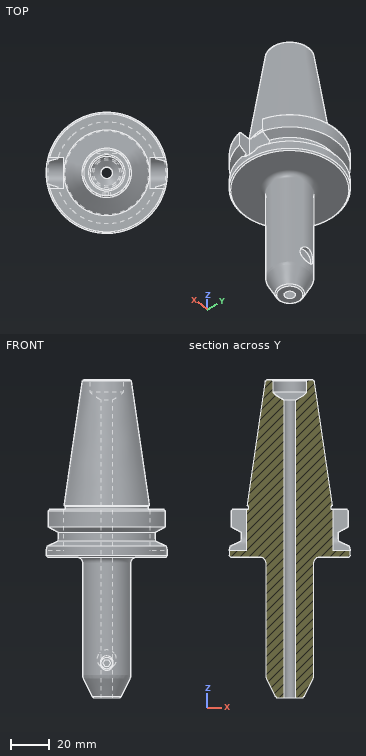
import cadquery as cq
import math

total_length = 165.4
gauge_height = 100.0
flange_top = 98.0
upper_rim_bottom = 88.8
groove_top = 86.0
groove_bottom = 81.5
lower_rim_top = 78.9
flange_bottom = 73.1
nose_cone_top = 10.9

gauge_radius = 44.5 / 2
taper_ratio = 7 / 24
taper_end_radius = gauge_radius - (total_length - gauge_height) * taper_ratio / 2
neck_radius = 21.7
flange_radius = 63.0 / 2
groove_radius = 26.5
shank_radius = 12.5
nose_radius = 7.6

edge_chamfer = 0.8
gauge_chamfer = 0.5
shank_fillet = 3.0
nose_shoulder_fillet = 3.6

bore_radius = 8.6
bore_depth = 6.6
bore_chamfer = 0.8
seat_radius = 7.0
seat_depth = 8.3
coolant_radius = 5.8 / 2
drill_point_angle = 118

slot_width = 16.0
slot_floor = 22.5
slot_bottom = 76.7

screw_height = 18.2
screw_hole_radius = 3.8
screw_radius = 3.0
screw_face_depth = 1.0
screw_hole_chamfer_depth = screw_hole_radius - screw_radius
socket_across_corners = 4.0
socket_depth = 1.7
relief_height = 20.2
relief_radius = 5.0
relief_depth = 2.5


def make_body():
    """Taper, V-grooved flange and shank as one solid of revolution."""
    fillet_middle = shank_fillet * (1 - math.sqrt(0.5))
    profile = (
        cq.Workplane("XZ")
        .moveTo(0, 0)
        .lineTo(nose_radius - edge_chamfer, 0)
        .lineTo(nose_radius, edge_chamfer)
        .lineTo(shank_radius, nose_cone_top)
        .lineTo(shank_radius, flange_bottom - shank_fillet)
        .threePointArc(
            (shank_radius + fillet_middle, flange_bottom - fillet_middle),
            (shank_radius + shank_fillet, flange_bottom),
        )
        .lineTo(flange_radius - edge_chamfer, flange_bottom)
        .lineTo(flange_radius, flange_bottom + edge_chamfer)
        .lineTo(flange_radius, lower_rim_top)
        .lineTo(groove_radius, groove_bottom)
        .lineTo(groove_radius, groove_top)
        .lineTo(flange_radius, upper_rim_bottom)
        .lineTo(flange_radius, flange_top - edge_chamfer)
        .lineTo(flange_radius - edge_chamfer, flange_top)
        .lineTo(neck_radius, flange_top)
        .lineTo(neck_radius, gauge_height - gauge_chamfer)
        .lineTo(gauge_radius, gauge_height)
        .lineTo(taper_end_radius, total_length)
        .lineTo(0, total_length)
        .close()
    )
    body = profile.revolve(360, (0, 0, 0), (0, 1, 0))
    body = body.faces(">Z").edges().chamfer(edge_chamfer)
    shoulder = cq.selectors.BoxSelector(
        (-flange_radius, -flange_radius, nose_cone_top - edge_chamfer),
        (flange_radius, flange_radius, nose_cone_top + edge_chamfer),
    )
    return body.edges(shoulder).edges("%CIRCLE").fillet(nose_shoulder_fillet)


def make_axial_bore():
    """Chamfered pilot tapering into a drill point, with a through coolant hole."""
    seat_height = total_length - seat_depth
    point_depth = (seat_radius - coolant_radius) / math.tan(math.radians(drill_point_angle / 2))
    return (
        cq.Workplane("XZ")
        .moveTo(0, 0)
        .lineTo(coolant_radius, 0)
        .lineTo(coolant_radius, seat_height - point_depth)
        .lineTo(seat_radius, seat_height)
        .lineTo(bore_radius, total_length - bore_depth)
        .lineTo(bore_radius, total_length - bore_chamfer)
        .lineTo(bore_radius + bore_chamfer, total_length)
        .lineTo(0, total_length)
        .close()
        .revolve(360, (0, 0, 0), (0, 1, 0))
    )


def make_drive_slot(side):
    """Round-bottomed, flat-floored slot on the +X (side=1) or -X (side=-1) rim."""
    half_width = slot_width / 2
    arc_center = slot_bottom + half_width
    return (
        cq.Workplane("YZ", origin=(side * slot_floor, 0, 0))
        .moveTo(-half_width, gauge_height)
        .lineTo(-half_width, arc_center)
        .threePointArc((0, slot_bottom), (half_width, arc_center))
        .lineTo(half_width, gauge_height)
        .close()
        .extrude(side * flange_radius)
    )


def make_screw_recess():
    """Countersunk screw hole down to the screw face, with its hexagon socket."""
    surface = cq.Workplane("XZ", origin=(0, -shank_radius, screw_height))
    countersink = (
        surface.circle(screw_hole_radius)
        .workplane(offset=-screw_hole_chamfer_depth)
        .circle(screw_radius)
        .loft()
    )
    hole = surface.circle(screw_radius).extrude(-screw_face_depth)
    socket = surface.polygon(6, socket_across_corners).extrude(-screw_face_depth - socket_depth)
    return countersink.union(hole).union(socket)


def make_relief_hole():
    """Shallow flat-bottomed hole on the +Y side of the shank."""
    return (
        cq.Workplane("XZ", origin=(0, shank_radius, relief_height))
        .circle(relief_radius)
        .extrude(relief_depth)
    )


result = make_body().cut(make_axial_bore())
for slot_side in (-1, 1):
    result = result.cut(make_drive_slot(slot_side))
result = result.cut(make_screw_recess()).cut(make_relief_hole())